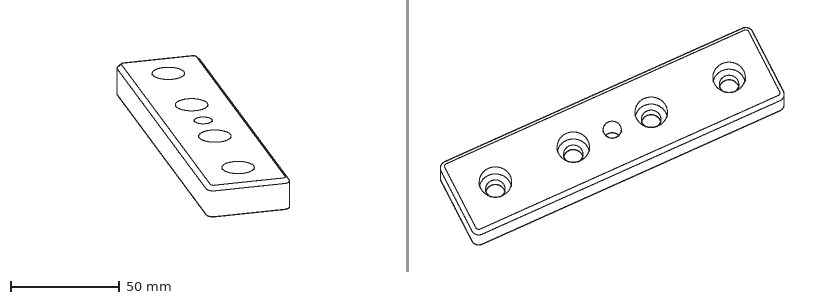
import cadquery as cq

length = 160.0
width = 40.0
height = 15.0
corner_radius = 3.5
top_chamfer = 2.0

screw_hole_count = 4
screw_hole_pitch = length / screw_hole_count
screw_hole_diameter = 9.0
counterbore_diameter = 15.0
counterbore_depth = 9.0

centre_hole_diameter = 8.38


def make_bar():
    """Bar resting on Z = 0, with rounded upright corners and a chamfered top rim."""
    bar = cq.Workplane("XY").box(length, width, height, centered=(True, True, False))
    bar = bar.edges("|Z").fillet(corner_radius)
    return bar.faces(">Z").edges().chamfer(top_chamfer)


def add_screw_holes(bar):
    """Row of counterbored holes, centred on the bar."""
    return (
        bar.faces(">Z")
        .workplane(origin=(0, 0, height))
        .rarray(screw_hole_pitch, 1, screw_hole_count, 1)
        .cboreHole(screw_hole_diameter, counterbore_diameter, counterbore_depth)
    )


def add_centre_hole(bar):
    """Through hole in the middle of the bar."""
    return bar.faces(">Z").workplane(origin=(0, 0, height)).hole(centre_hole_diameter)


result = add_centre_hole(add_screw_holes(make_bar()))